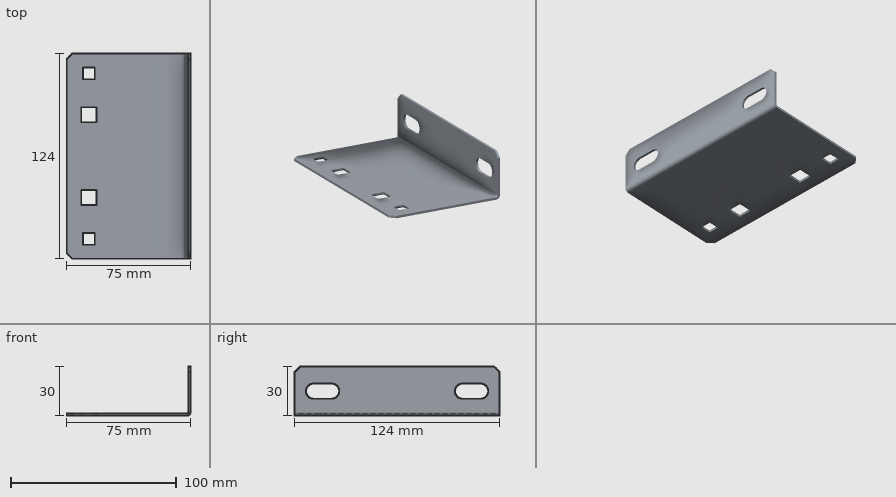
import cadquery as cq

base_length = 75.0
width = 124.0
flange_height = 30.0

thickness = 1.5
bend_inner_radius = 1.0
bend_outer_radius = bend_inner_radius + thickness

corner_bevel = 3.5

hole_row_from_edge = 13.5
small_square_side = 7.0
small_square_spacing = 100.0
large_square_side = 9.0
large_square_spacing = 50.0

slot_length = 20.0
slot_height = 9.0
slot_spacing = 90.0
slot_center_height = flange_height / 2

free_edge_x = -base_length / 2
flange_face_x = base_length / 2
flange_inner_x = flange_face_x - thickness
hole_row_x = free_edge_x + hole_row_from_edge


def bent_sheet():
    """L-shaped section extruded over the full width, with a rounded bend."""
    sheet = (
        cq.Workplane("XZ")
        .moveTo(free_edge_x, 0)
        .lineTo(flange_face_x - bend_outer_radius, 0)
        .radiusArc((flange_face_x, bend_outer_radius), -bend_outer_radius)
        .lineTo(flange_face_x, flange_height)
        .lineTo(flange_inner_x, flange_height)
        .lineTo(flange_inner_x, bend_outer_radius)
        .radiusArc((flange_face_x - bend_outer_radius, thickness), bend_inner_radius)
        .lineTo(free_edge_x, thickness)
        .close()
        .extrude(width / 2, both=True)
    )
    return sheet


def bevel_corners(sheet):
    """Cut the two free corners of the base and of the flange at 45 degrees."""
    sheet = sheet.edges("|Z and <X").chamfer(corner_bevel)
    sheet = sheet.faces(">Z").edges("|X").chamfer(corner_bevel)
    return sheet


def square_hole_pair(side, spacing):
    """Cutters for two square holes through the base, mirrored about Y = 0."""
    return (
        cq.Workplane("XY")
        .pushPoints([(hole_row_x, -spacing / 2), (hole_row_x, spacing / 2)])
        .rect(side, side)
        .extrude(thickness)
    )


def slot_pair():
    """Cutters for two round-ended slots through the flange, mirrored about Y = 0."""
    return (
        cq.Workplane("YZ", origin=(flange_inner_x, 0, slot_center_height))
        .pushPoints([(-slot_spacing / 2, 0), (slot_spacing / 2, 0)])
        .slot2D(slot_length, slot_height)
        .extrude(thickness)
    )


result = bevel_corners(bent_sheet())
result = result.cut(square_hole_pair(small_square_side, small_square_spacing))
result = result.cut(square_hole_pair(large_square_side, large_square_spacing))
result = result.cut(slot_pair())